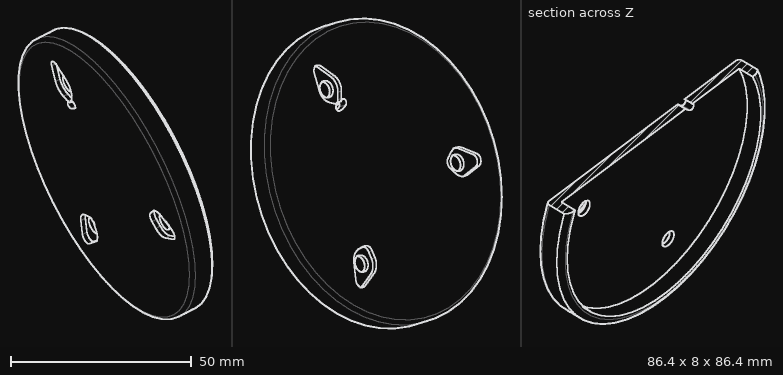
import cadquery as cq
import math

outer_radius = 43.2
height = 8.0
front_fillet = 1.2

rim_depth = 1.2
rim_width = 2.1
rim_bulge = 0.27

plate_thickness = 3.0
cavity_radius = outer_radius - plate_thickness

screw_circle_radius = 28.5
screw_count = 3
first_screw_angle = 15.0
screw_hole_diameter = 4.8

recess_depth = 1.5
recess_radius = 4.15
recess_tip_radius = 1.9
recess_tip_offset = 5.65
recess_corner_radius = 2.0
recess_corner_half_angle = 45.0

slot_screw_index = 1
slot_width = 1.9
slot_path_radius = 5.95
slot_half_angle = 13.0


def polar(radius, angle, center=(0.0, 0.0)):
    """Point at an angle in degrees on a circle."""
    turn = math.radians(angle)
    return (center[0] + radius * math.cos(turn), center[1] + radius * math.sin(turn))


def front_plane(angle):
    """Plane on the front face at a screw: local X points outward, normal is -Y."""
    x, z = polar(screw_circle_radius, angle)
    outward_x, outward_z = polar(1.0, angle)
    return cq.Plane(origin=(x, 0, z), xDir=(outward_x, 0, outward_z), normal=(0, -1, 0))


def make_cup():
    """Disc revolved about the Y axis and hollowed from the back."""
    rim_start = (outer_radius, height - rim_depth)
    rim_end = (outer_radius - rim_width, height)
    disc = (
        cq.Workplane("XY")
        .lineTo(outer_radius, 0)
        .lineTo(*rim_start)
        .sagittaArc(rim_end, -rim_bulge)
        .lineTo(0, height)
        .close()
        .revolve(360, (0, 0, 0), (0, 1, 0))
    )
    disc = disc.faces("<Y").edges().fillet(front_fillet)
    cavity = cq.Workplane("XZ", origin=(0, plate_thickness, 0)).circle(cavity_radius)
    return disc.cut(cavity.extrude(plate_thickness - height))


def make_recess(angle):
    """Teardrop pocket bounded by five arcs and their common tangents."""
    flank = math.degrees(math.acos((recess_radius - recess_tip_radius) / recess_tip_offset))
    corner = 180 - recess_corner_half_angle
    tip_center = (recess_tip_offset, 0)
    corner_sine = math.sin(math.radians(recess_corner_half_angle))
    corner_offset = (recess_radius - recess_corner_radius) / corner_sine
    corner_center = (-corner_offset, 0)
    side_middle = (flank + corner) / 2
    return (
        cq.Workplane(front_plane(angle))
        .moveTo(*polar(recess_tip_radius, -flank, tip_center))
        .threePointArc(polar(recess_tip_radius, 0, tip_center), polar(recess_tip_radius, flank, tip_center))
        .lineTo(*polar(recess_radius, flank))
        .threePointArc(polar(recess_radius, side_middle), polar(recess_radius, corner))
        .lineTo(*polar(recess_corner_radius, corner, corner_center))
        .threePointArc(
            polar(recess_corner_radius, 180, corner_center),
            polar(recess_corner_radius, -corner, corner_center),
        )
        .lineTo(*polar(recess_radius, -corner))
        .threePointArc(polar(recess_radius, -side_middle), polar(recess_radius, -flank))
        .close()
        .extrude(-recess_depth)
    )


def make_screw_hole(angle):
    """Round hole through the front plate."""
    return cq.Workplane(front_plane(angle)).circle(screw_hole_diameter / 2).extrude(-plate_thickness)


def make_wire_slot(angle):
    """Arc slot with round ends through the front plate, on the inner side of a screw."""
    start_angle = 180 - slot_half_angle
    end_angle = 180 + slot_half_angle
    end_radius = slot_width / 2
    inner_radius = slot_path_radius - end_radius
    slot_outer_radius = slot_path_radius + end_radius
    start_center = polar(slot_path_radius, start_angle)
    end_center = polar(slot_path_radius, end_angle)
    return (
        cq.Workplane(front_plane(angle))
        .moveTo(*polar(inner_radius, start_angle))
        .threePointArc(polar(inner_radius, 180), polar(inner_radius, end_angle))
        .threePointArc(polar(end_radius, end_angle + 90, end_center), polar(slot_outer_radius, end_angle))
        .threePointArc(polar(slot_outer_radius, 180), polar(slot_outer_radius, start_angle))
        .threePointArc(polar(end_radius, start_angle - 90, start_center), polar(inner_radius, start_angle))
        .close()
        .extrude(-plate_thickness)
    )


screw_angles = [first_screw_angle + index * 360 / screw_count for index in range(screw_count)]

result = make_cup()
for screw_angle in screw_angles:
    result = result.cut(make_recess(screw_angle))
    result = result.cut(make_screw_hole(screw_angle))
result = result.cut(make_wire_slot(screw_angles[slot_screw_index]))